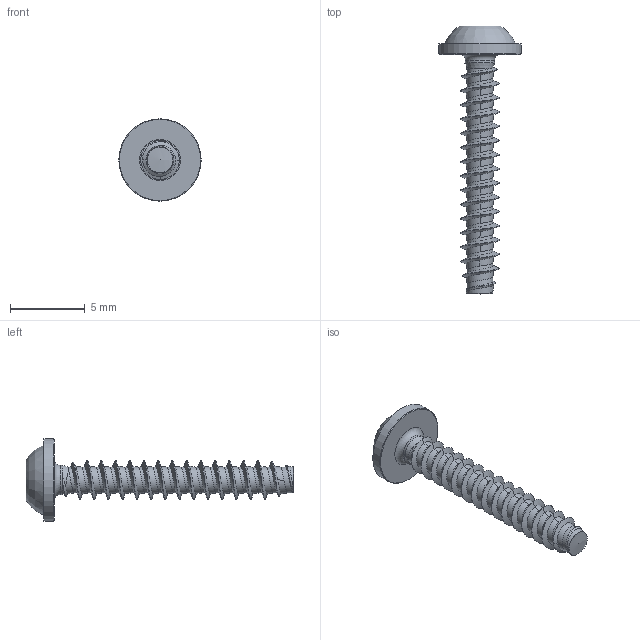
import cadquery as cq
import math


WASHER_RADIUS = 5.5 / 2
WASHER_THICKNESS = 0.7
RIM_FILLET = 0.04
HEAD_HEIGHT = 1.9
DOME_BASE_RADIUS = 2.36
DOME_TOP_RADIUS = 1.33
DOME_MID_RADIUS = 1.98
DOME_MID_HEIGHT = 1.38

SHANK_LENGTH = 16.0
NECK_RADIUS = 0.97
NECK_FILLET = 0.4
NECK_LENGTH = 0.57
NECK_TAPER_END = 0.94
CORE_RADIUS = 0.86
TIP_DOME_HEIGHT = 0.05

PITCH = 0.95
CREST_RADIUS = 1.29
CREST_HALF_WIDTH = 0.01
BURIED_RADIUS = 0.84
HEAD_FLANK_WIDTH = 0.18
TIP_FLANK_WIDTH = 0.13
SHOULDER_RADIUS = 0.92
ROOT_SLOPE_END = 0.70
CREST_DEPTH = 0.045
RUN_IN_START = 0.25
RUN_IN_END = 1.75
RUN_OUT_START = 15.0
RUN_OUT_END = 17.0
RUN_IN_RISE = 0.194
RUN_OUT_FALL = 0.25
MAX_SECTION_TURNS = 0.5


def make_head():
    """Flat washer with a domed, flat-topped head on it."""
    return (
        cq.Workplane("XZ")
        .moveTo(0, 0)
        .lineTo(WASHER_RADIUS - RIM_FILLET, 0)
        .radiusArc((WASHER_RADIUS, -RIM_FILLET), -RIM_FILLET)
        .lineTo(WASHER_RADIUS, -WASHER_THICKNESS)
        .lineTo(DOME_BASE_RADIUS, -WASHER_THICKNESS)
        .threePointArc((DOME_MID_RADIUS, -DOME_MID_HEIGHT), (DOME_TOP_RADIUS, -HEAD_HEIGHT))
        .lineTo(0, -HEAD_HEIGHT)
        .close()
        .revolve(360, (0, 0, 0), (0, 1, 0))
    )


def make_core():
    """Neck filleted into the bearing face, tapering to the thread core and a faintly domed tip."""
    tip_edge_depth = SHANK_LENGTH - TIP_DOME_HEIGHT
    tip_dome_radius = (CORE_RADIUS**2 + TIP_DOME_HEIGHT**2) / (2 * TIP_DOME_HEIGHT)
    return (
        cq.Workplane("XZ")
        .moveTo(0, -WASHER_THICKNESS / 2)
        .lineTo(NECK_RADIUS + NECK_FILLET, -WASHER_THICKNESS / 2)
        .lineTo(NECK_RADIUS + NECK_FILLET, 0)
        .radiusArc((NECK_RADIUS, NECK_FILLET), NECK_FILLET)
        .lineTo(NECK_RADIUS, NECK_LENGTH)
        .lineTo(CORE_RADIUS, NECK_TAPER_END)
        .lineTo(CORE_RADIUS, tip_edge_depth)
        .radiusArc((0, SHANK_LENGTH), -tip_dome_radius)
        .close()
        .revolve(360, (0, 0, 0), (0, 1, 0))
    )


def helix_edge(radius, depth, start_turn, turns, growth):
    """Right-hand helix about Z whose radius changes by growth in every turn."""
    helix_args = {"center": cq.Vector(0, 0, depth)}
    stretch = 1.0
    if growth:
        cone_angle = math.atan2(growth, PITCH)
        helix_args["angle"] = math.degrees(cone_angle)
        stretch = 1 / math.cos(cone_angle)
    helix = cq.Wire.makeHelix(PITCH * stretch, turns * PITCH * stretch, radius, **helix_args)
    return helix.Edges()[0].rotate(cq.Vector(0, 0, 0), cq.Vector(0, 0, 1), 360 * start_turn)


def make_ridge_section(start_turn, end_turn, start_sink, growth):
    """Side faces of one stretch of the ridge, with its first and last corner points.

    The crest and the head-side foot start start_sink below full height and move by growth
    in every turn, while the shoulder and the sloping root keep their radii.
    """
    corners = [
        (BURIED_RADIUS - start_sink, -CREST_HALF_WIDTH - HEAD_FLANK_WIDTH, growth),
        (CREST_RADIUS - start_sink, -CREST_HALF_WIDTH, growth),
        (CREST_RADIUS - start_sink, CREST_HALF_WIDTH, growth),
        (SHOULDER_RADIUS, CREST_HALF_WIDTH + TIP_FLANK_WIDTH, 0),
        (BURIED_RADIUS, ROOT_SLOPE_END, 0),
    ]
    start_depth = CREST_DEPTH + PITCH * start_turn
    edges = [
        helix_edge(radius, start_depth + offset, start_turn, end_turn - start_turn, corner_growth)
        for radius, offset, corner_growth in corners
    ]
    next_edges = edges[1:] + edges[:1]
    faces = [cq.Face.makeRuledSurface(a, b) for a, b in zip(edges, next_edges)]
    return faces, [e.startPoint() for e in edges], [e.endPoint() for e in edges]


def make_ridge_run(start_turn, end_turn, start_sink, growth):
    """Ridge sections joined end to end, as a list of (faces, first corners, last corners)."""
    sections = []
    section_start = start_turn
    while section_start < end_turn:
        section_end = min(section_start + MAX_SECTION_TURNS, end_turn)
        section_sink = start_sink - growth * (section_start - start_turn)
        sections.append(make_ridge_section(section_start, section_end, section_sink, growth))
        section_start = section_end
    return sections


def make_thread():
    """Right-hand ridge with unequal flanks that rises from the neck and sinks in at the tip."""
    run_in_sink = RUN_IN_RISE * (RUN_IN_END - RUN_IN_START)
    sections = (
        make_ridge_run(RUN_IN_START, RUN_IN_END, run_in_sink, RUN_IN_RISE)
        + make_ridge_run(RUN_IN_END, RUN_OUT_START, 0, 0)
        + make_ridge_run(RUN_OUT_START, RUN_OUT_END, 0, -RUN_OUT_FALL)
    )
    side_faces = [face for faces, _, _ in sections for face in faces]
    first_corners = sections[0][1]
    last_corners = sections[-1][2]
    caps = [
        cq.Face.makeFromWires(cq.Wire.makePolygon(corners, close=True))
        for corners in (first_corners, last_corners)
    ]
    ridge = cq.Solid.makeSolid(cq.Shell.makeShell(side_faces + caps))
    threaded_length = SHANK_LENGTH - TIP_DOME_HEIGHT - NECK_LENGTH
    threaded_zone = (
        cq.Workplane("XY").workplane(offset=NECK_LENGTH).circle(WASHER_RADIUS).extrude(threaded_length)
    )
    return threaded_zone.intersect(cq.Workplane("XY").newObject([ridge]))


screw = make_core().union(make_thread()).union(make_head())
result = screw.rotate((0, 0, 0), (1, 0, 0), 90)